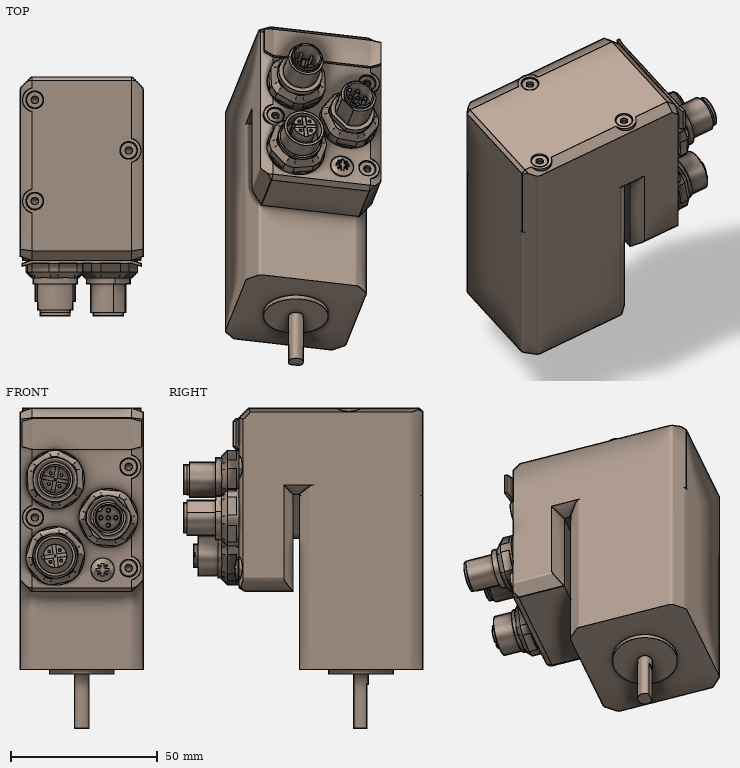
import cadquery as cq
import math


motor_width = 42.0
motor_height = 59.2
corner_chamfer = 3.9
corner_fillet = 2.0
pilot_diameter = 22.0
pilot_height = 1.5
shaft_diameter = 5.0
shaft_length = 20.0
shaft_round_length = 5.0
shaft_flat_depth = 0.5

head_top = 89.0
front_face = -41.5
arm_bottom = 26.6
arm_inner_face = -23.1
head_underside = 59.6
slope_run = 4.0
slope_drop = 1.4
top_front_chamfer = 3.3
top_back_chamfer = 1.2
inner_bevel = 3.2
bottom_chamfer_run = 2.0
bottom_chamfer_height = 1.2
plug_width = 17.4
plug_bottom = 44.6
plug_fillet = 1.1

pad_diameter = 8.3
recess_diameter = 6.0
recess_floor_diameter = 5.6
recess_depth = 0.4
socket_diameter = 2.5
socket_depth = 1.3
screw_x = 15.97
screw_pitch = 17.2
top_screw_y = -4.09
front_screw_z = 51.8

ground_screw_x = 7.1
ground_screw_z = 34.0
ground_screw_diameter = 8.0
ground_screw_height = 1.6
ground_screw_edge = 0.3
dome_radius = 6.8
drive_length = 4.4
drive_width = 1.0
drive_notch_width = 0.5
drive_depth = 1.0

plate_half_flat = 16.9
plate_half_width = 20.3
plate_bottom = 74.9
plate_top = 85.5
plate_thickness = 1.0
wing_rise = 1.0
wing_end_taper = 1.0

connector_x = 9.0
upper_connector_z = 64.6
middle_connector_z = 51.7
lower_connector_z = 38.7
nut_diameter = 20.0
nut_rim = 0.9
nut_height = 3.9
nut_front_taper = 2.1
nut_flat_half_angle = 20.0
collar_diameter = 15.0
plug_barrel_diameter = 12.0
plug_tip_diameter = 10.4
plug_lip_diameter = 10.2
socket_barrel_diameter = 13.7
socket_bore_diameter = 12.0
insert_diameter = 8.0
bore_mouth_diameter = 9.2
bore_floor_diameter = 8.3
bore_depth = 8.7
slim_pin_diameter = 1.0
slim_pin_rounding = 0.4
thick_pin_diameter = 1.4
contact_hole_diameter = 1.0
pin_length = 6.5
pin_tip_chamfer = 0.2
pin_circle_radius = 2.56
center_hole_diameter = 0.6
center_dimple_diameter = 0.8
cross_width = 1.3
cross_depth = 0.5
contact_hole_depth = 2.2
key_width = 1.0
key_reach = 4.6
key_inner = 3.6
code_key_diameter = 1.4
flat_distance = 5.29
collar_flat_distance = 6.6

taper_end = nut_height + nut_front_taper
plug_collar_end = 8.0
plug_barrel_end = 16.8
plug_lip_start = 17.8
plug_end = 18.8
middle_barrel_end = 17.8
socket_collar_end = 7.2
socket_barrel_end = 14.0
insert_end = 15.5

half_width = motor_width / 2
slope_start = half_width - slope_run
nut_half_flats = nut_diameter / 2 * math.cos(math.radians(nut_flat_half_angle))


def cylinder(diameter, z_from, z_to):
    return cq.Workplane("XY", origin=(0, 0, z_from)).circle(diameter / 2).extrude(z_to - z_from)


def cone(diameter_from, diameter_to, z_from, z_to):
    return (
        cq.Workplane("XY", origin=(0, 0, z_from))
        .circle(diameter_from / 2)
        .workplane(offset=z_to - z_from)
        .circle(diameter_to / 2)
        .loft()
    )


def drill_point(diameter, z):
    """Right-angled conical end of a hole whose full diameter stops at height z."""
    return cq.Workplane(cq.Solid.makeCone(0, diameter / 2, diameter / 2, cq.Vector(0, 0, z - diameter / 2)))


def placed(connector, x, z):
    """Turns a connector from +Z to -Y and moves it to its place on the front face."""
    return connector.rotate((0, 0, 0), (1, 0, 0), 90).translate((x, front_face, z))


def motor_column(z_from, z_to, rounded_edges):
    """Square column with chamfered corners; the edges picked by rounded_edges are softened."""
    column = (
        cq.Workplane("XY", origin=(0, 0, z_from))
        .rect(motor_width, motor_width)
        .extrude(z_to - z_from)
        .edges("|Z")
        .chamfer(corner_chamfer)
    )
    return column.edges(rounded_edges).fillet(corner_fillet)


def motor():
    body = motor_column(0, motor_height, "|Z")
    pilot = cq.Workplane("XY").circle(pilot_diameter / 2).extrude(-pilot_height)
    shaft = cq.Workplane("XY").circle(shaft_diameter / 2).extrude(-shaft_length)
    flat = (
        cq.Workplane("XY", origin=(0, shaft_diameter - shaft_flat_depth, -shaft_round_length))
        .rect(shaft_diameter, shaft_diameter)
        .extrude(-shaft_length)
    )
    return body.union(pilot).union(shaft.cut(flat))


def head_envelope():
    """Side outline of the head, full size in the middle and tapering toward both side faces."""
    outline = (
        cq.Workplane("YZ")
        .moveTo(half_width, arm_bottom)
        .lineTo(half_width, head_top - top_back_chamfer)
        .lineTo(half_width - top_back_chamfer, head_top)
        .lineTo(front_face + top_front_chamfer, head_top)
        .lineTo(front_face, head_top - top_front_chamfer)
        .lineTo(front_face, arm_bottom + bottom_chamfer_height)
        .lineTo(front_face + bottom_chamfer_run, arm_bottom)
        .close()
        .wire()
    )
    outline = outline.val()
    middle = cq.Workplane("YZ").add(outline).toPending().extrude(slope_start, both=True)
    side_plane = cq.Workplane("YZ").add(outline.translate(cq.Vector(slope_start, 0, 0))).toPending()
    slope_angle = math.degrees(math.atan(slope_drop / slope_run))
    side = side_plane.extrude(slope_run, taper=slope_angle)
    return middle.union(side).union(side.mirror("YZ"))


def arm_section():
    """Bar along Y whose two bottom corners are chamfered and rounded like the motor's."""
    height = 2 * (head_top - arm_bottom)
    bar = (
        cq.Workplane("XY", origin=(0, 0, arm_bottom))
        .box(motor_width, -4 * front_face, height, centered=(True, True, False))
        .edges("|Y and <Z")
        .chamfer(corner_chamfer)
    )
    return bar.edges("|Y and (>X or <X)").fillet(corner_fillet)


def space_behind_arm():
    """Straight slot behind the arm, widened by a bevel at both side faces."""
    length = half_width - arm_inner_face
    height = head_underside + arm_bottom
    slot = cq.Workplane("XY", origin=(0, half_width, -arm_bottom)).box(
        motor_width, 2 * length, height, centered=(True, True, False)
    )
    bevel_angle = math.degrees(math.atan(inner_bevel / slope_run))
    bevel = (
        cq.Workplane("YZ", origin=(-half_width, half_width, head_underside - height / 2))
        .rect(2 * (length + inner_bevel), height + 2 * inner_bevel)
        .extrude(slope_run, taper=bevel_angle)
    )
    return slot.union(bevel).union(bevel.mirror("YZ"))


def head():
    envelope = head_envelope()
    column_front = cq.Workplane("XY", origin=(0, corner_chamfer + corner_fillet, 0))
    arm = (
        envelope.intersect(arm_section())
        .cut(space_behind_arm())
        .cut(column_front.rect(motor_width, motor_width).extrude(head_top))
    )
    column = motor_column(motor_height, head_top, "(|Z and >X) or (|Z and <X)")
    return arm.union(column.intersect(envelope))


def motor_plug():
    """Block that bridges the gap between the motor and the arm."""
    gap = -half_width - arm_inner_face
    block = (
        cq.Workplane("XY", origin=(0, arm_inner_face + gap / 2, plug_bottom))
        .rect(plug_width, gap)
        .extrude(head_underside - plug_bottom)
    )
    return block.edges("|Y and <Z").fillet(plug_fillet)


def screw_places():
    """Planes on the outer faces, one for each cover screw, with the normal pointing outward."""
    places = []
    for side, step in ((-1, 1), (1, 0), (-1, -1)):
        top_point = (side * screw_x, top_screw_y + step * screw_pitch, head_top)
        places.append(cq.Plane(top_point, (1, 0, 0), (0, 0, 1)))
        front_point = (-side * screw_x, front_face, front_screw_z + step * screw_pitch)
        places.append(cq.Plane(front_point, (1, 0, 0), (0, -1, 0)))
    return places


def with_cover_screw(body, place):
    """Levels a round pad on the side slope and sinks a screw head with its socket into it."""
    pad = cq.Workplane(place).circle(pad_diameter / 2).extrude(-slope_drop)
    socket_bottom = -recess_depth - socket_depth
    opening = (
        cone(recess_floor_diameter, recess_diameter, -recess_depth, 0)
        .union(cylinder(socket_diameter, socket_bottom, 0))
        .union(drill_point(socket_diameter, socket_bottom))
    )
    return body.union(pad).cut(cq.Workplane(opening.val().moved(cq.Location(place))))


def ground_screw():
    """Domed screw head with a cross drive and four notches between the cross arms."""
    radius = ground_screw_diameter / 2
    screw = (
        cq.Workplane("XZ")
        .lineTo(radius, 0)
        .lineTo(radius, ground_screw_edge)
        .radiusArc((0, ground_screw_height), -dome_radius)
        .close()
        .revolve(360, (0, 0), (0, 1))
    )
    slot_plane = cq.Workplane("XY", origin=(0, 0, ground_screw_height))
    for angle in range(0, 180, 45):
        width = drive_notch_width if angle % 90 else drive_width
        slot = slot_plane.transformed(rotate=(0, 0, angle)).rect(drive_length, width)
        screw = screw.cut(slot.extrude(-drive_depth))
    return placed(screw, ground_screw_x, ground_screw_z)


def label_plate():
    """Bent sheet: flat in the middle, with wings that flare forward and taper at the ends."""
    tip = front_face - wing_rise
    sheet = (
        cq.Workplane("XY", origin=(0, 0, plate_bottom))
        .moveTo(-plate_half_width, tip)
        .lineTo(-plate_half_flat, front_face)
        .lineTo(plate_half_flat, front_face)
        .lineTo(plate_half_width, tip)
        .lineTo(plate_half_width, tip - plate_thickness)
        .lineTo(plate_half_flat, front_face - plate_thickness)
        .lineTo(-plate_half_flat, front_face - plate_thickness)
        .lineTo(-plate_half_width, tip - plate_thickness)
        .close()
        .extrude(plate_top - plate_bottom)
    )
    outline = (
        cq.Workplane("XZ", origin=(0, front_face, 0))
        .moveTo(-plate_half_flat, plate_bottom)
        .lineTo(plate_half_flat, plate_bottom)
        .lineTo(plate_half_width, plate_bottom + wing_end_taper)
        .lineTo(plate_half_width, plate_top - wing_end_taper)
        .lineTo(plate_half_flat, plate_top)
        .lineTo(-plate_half_flat, plate_top)
        .lineTo(-plate_half_width, plate_top - wing_end_taper)
        .lineTo(-plate_half_width, plate_bottom + wing_end_taper)
        .close()
        .extrude(wing_rise + plate_thickness)
    )
    return sheet.intersect(outline)


def build_housing():
    body = motor().union(head()).union(motor_plug())
    for place in screw_places():
        body = with_cover_screw(body, place)
    return body.union(label_plate()).union(ground_screw())


def nut(turn):
    """Round nut with six flats and a 45 degree front taper; turn is the angle of one flat."""
    rim = cylinder(nut_diameter, 0, nut_rim)
    grip = cylinder(nut_diameter, 0, taper_end).faces(">Z").chamfer(nut_front_taper)
    hexagon = (
        cq.Workplane("XY")
        .transformed(rotate=(0, 0, turn))
        .polygon(6, 2 * nut_half_flats, circumscribed=True)
        .extrude(taper_end)
        .faces(">Z")
        .chamfer(nut_front_taper)
    )
    return rim.union(grip.intersect(hexagon))


def quarter_points(radius, turn):
    """Four points on a circle, the first at angle turn."""
    angles = [math.radians(turn + 90 * i) for i in range(4)]
    return [(radius * math.cos(a), radius * math.sin(a)) for a in angles]


def cross(z, length, turn):
    """Cross-shaped cutter sunk below height z."""
    plane = cq.Workplane("XY", origin=(0, 0, z)).transformed(rotate=(0, 0, turn))
    bar = plane.rect(length, cross_width).extrude(-cross_depth)
    return bar.union(bar.rotate((0, 0, 0), (0, 0, 1), 90))


def pins(pin, points):
    group = cq.Workplane("XY")
    for x, y in points:
        group = group.union(pin.translate((x, y, 0)))
    return group


def build_upper_connector():
    """Plug with four pins standing around a cross-shaped groove."""
    flat_turn = 2
    pin_turn = 34
    floor = plug_end - bore_depth
    body = nut(flat_turn).union(cylinder(collar_diameter, 0, plug_collar_end))
    body = body.union(cylinder(plug_barrel_diameter, 0, plug_barrel_end))
    body = body.union(cylinder(plug_tip_diameter, 0, plug_lip_start))
    body = body.union(cylinder(plug_lip_diameter, 0, plug_end))
    body = body.cut(cylinder(bore_mouth_diameter, floor, plug_end))
    body = body.cut(cross(floor, bore_mouth_diameter, pin_turn + 45))
    body = body.cut(drill_point(center_dimple_diameter, floor - cross_depth))
    pin = cylinder(slim_pin_diameter, floor, floor + pin_length).faces(">Z").fillet(slim_pin_rounding)
    body = body.union(pins(pin, quarter_points(pin_circle_radius, pin_turn)))
    return placed(body, -connector_x, upper_connector_z)


def two_flats(distance, z_from, z_to):
    """Cutters that leave two flats at the given distance from the axis, facing +45 and -135 degrees."""
    height = z_to - z_from
    half = cq.Workplane("XY").box(nut_diameter, nut_diameter, height, centered=(False, True, False))
    half = half.translate((distance, 0, z_from))
    both = half.union(half.rotate((0, 0, 0), (0, 0, 1), 180))
    return both.rotate((0, 0, 0), (0, 0, 1), 45)


def build_middle_connector():
    """Plug with five pins, a code key in the bore and two flats on the barrel and the collar."""
    flat_turn = 25
    floor = plug_end - bore_depth
    collar = cylinder(collar_diameter, taper_end, plug_collar_end)
    collar = collar.cut(two_flats(collar_flat_distance, taper_end, plug_collar_end))
    barrel = cylinder(plug_barrel_diameter, plug_collar_end, middle_barrel_end)
    barrel = barrel.cut(two_flats(flat_distance, plug_collar_end, middle_barrel_end))
    tip = cylinder(plug_tip_diameter, plug_collar_end, plug_end)
    body = nut(flat_turn).union(collar).union(barrel).union(tip)
    bore = cone(bore_floor_diameter, bore_mouth_diameter, floor, plug_end)
    key_place = quarter_points(bore_floor_diameter / 2, 135)[0]
    key = cylinder(code_key_diameter, floor, floor + pin_length).translate((*key_place, 0))
    pin = cylinder(thick_pin_diameter, floor, floor + pin_length).faces(">Z").chamfer(pin_tip_chamfer)
    points = [(0, 0)] + quarter_points(pin_circle_radius, 0)
    body = body.cut(bore.cut(key)).union(pins(pin, points))
    return placed(body, connector_x, middle_connector_z)


def build_lower_connector():
    """Socket with a keyed insert that has a cross groove and four contact holes."""
    flat_turn = 42.4
    cross_turn = 7
    body = nut(flat_turn).union(cylinder(collar_diameter, 0, socket_collar_end))
    body = body.union(cylinder(socket_barrel_diameter, 0, socket_barrel_end))
    body = body.cut(cylinder(socket_bore_diameter, plug_collar_end, socket_barrel_end))
    insert = cylinder(insert_diameter, plug_collar_end, insert_end)
    key = (
        cq.Workplane("XY", origin=(-(key_inner + key_reach) / 2, 0, plug_collar_end))
        .rect(key_reach - key_inner, key_width)
        .extrude(insert_end - plug_collar_end)
        .rotate((0, 0, 0), (0, 0, 1), cross_turn)
    )
    insert = insert.cut(cross(insert_end, insert_diameter, cross_turn)).union(key)
    holes = (
        cq.Workplane("XY", origin=(0, 0, insert_end))
        .pushPoints(quarter_points(pin_circle_radius, cross_turn + 45))
        .circle(contact_hole_diameter / 2)
        .extrude(-contact_hole_depth)
    )
    insert = insert.cut(holes).cut(cylinder(center_hole_diameter, insert_end - contact_hole_depth, insert_end))
    return placed(body.union(insert), -connector_x, lower_connector_z)


housing = build_housing()
upper_connector = build_upper_connector()
middle_connector = build_middle_connector()
lower_connector = build_lower_connector()

result = cq.Compound.makeCompound(
    [housing.val(), upper_connector.val(), middle_connector.val(), lower_connector.val()]
)